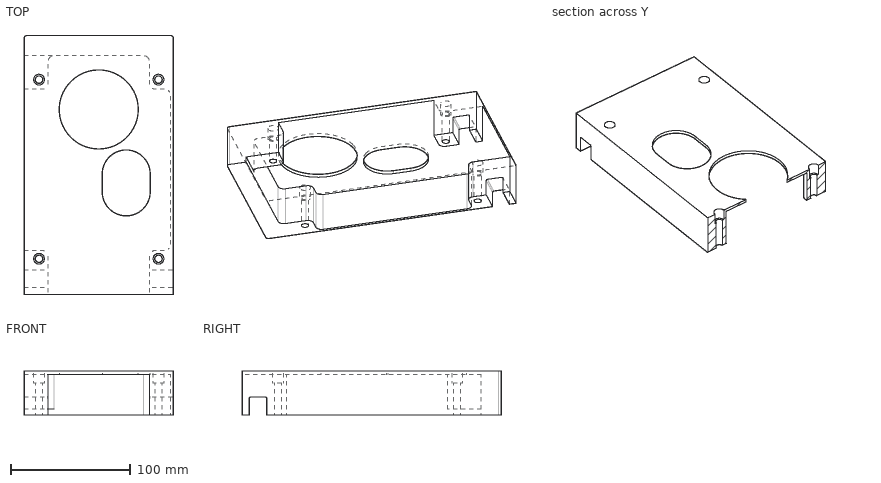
import cadquery as cq

LENGTH_X = 125.0
LENGTH_Y = 217.0
HEIGHT = 37.0
REAR_CORNER_RADIUS = 2.5

PLATE_THICKNESS = 3.0
LEG_WIDTH = 20.0
REAR_LEG_LENGTH = 45.0
FRONT_LEG_LENGTH = 37.0
REAR_WALL = 17.0
SIDE_WALL = 2.5
BAY_CORNER_RADIUS = 5.0

ROUND_WINDOW_DIAMETER = 66.0
ROUND_WINDOW_FROM_REAR = 62.0
OBLONG_WIDTH = 40.0
OBLONG_LENGTH = 55.0
OBLONG_X = 23.0
OBLONG_FROM_REAR = 123.5

SCREW_DIAMETER = 6.0
SCREW_HEAD_DIAMETER = 9.0
SCREW_HEAD_DEPTH = 10.0
SCREW_SPACING_X = 100.0
SCREW_SPACING_Y = 150.0
REAR_SCREWS_FROM_REAR = 37.0

NOTCH_FROM_FRONT = 6.0
NOTCH_WIDTH = 14.5
NOTCH_HEIGHT = 15.0
NOTCH_CORNER_RADIUS = 1.0

RELIEF_HEIGHT = 5.0

LEFT = -LENGTH_X / 2
RIGHT = LENGTH_X / 2
FRONT = -LENGTH_Y / 2
REAR = LENGTH_Y / 2
BAY_HEIGHT = HEIGHT - PLATE_THICKNESS
REAR_LEG_FRONT_Y = REAR - REAR_LEG_LENGTH


def box_between(x_min, x_max, y_min, y_max, height):
    """Box standing on Z = 0 between the given X and Y limits."""
    return (
        cq.Workplane("XY")
        .box(x_max - x_min, y_max - y_min, height, centered=False)
        .translate((x_min, y_min, 0))
    )


def outer_block():
    block = box_between(LEFT, RIGHT, FRONT, REAR, HEIGHT)
    return block.edges("|Z and >Y").fillet(REAR_CORNER_RADIUS)


def underside_bays():
    """The two crossing bays that leave four legs, a rear wall and a +X side wall."""
    overrun = 2 * BAY_CORNER_RADIUS
    lengthwise = box_between(
        LEFT + LEG_WIDTH, RIGHT - LEG_WIDTH, FRONT - overrun, REAR - REAR_WALL, BAY_HEIGHT
    )
    crosswise = box_between(
        LEFT - overrun, RIGHT - SIDE_WALL, FRONT + FRONT_LEG_LENGTH, REAR_LEG_FRONT_Y, BAY_HEIGHT
    )
    return lengthwise.union(crosswise).edges("|Z").fillet(BAY_CORNER_RADIUS)


def round_window():
    return (
        cq.Workplane("XY")
        .center(0, REAR - ROUND_WINDOW_FROM_REAR)
        .circle(ROUND_WINDOW_DIAMETER / 2)
        .extrude(HEIGHT)
    )


def oblong_window():
    return (
        cq.Workplane("XY")
        .center(OBLONG_X, REAR - OBLONG_FROM_REAR)
        .slot2D(OBLONG_LENGTH, OBLONG_WIDTH, 90)
        .extrude(HEIGHT)
    )


def drill_screw_holes(body):
    pattern_center_y = REAR - REAR_SCREWS_FROM_REAR - SCREW_SPACING_Y / 2
    return (
        body.faces(">Z")
        .workplane(origin=(0, pattern_center_y, HEIGHT))
        .rarray(SCREW_SPACING_X, SCREW_SPACING_Y, 2, 2)
        .cboreHole(SCREW_DIAMETER, SCREW_HEAD_DIAMETER, SCREW_HEAD_DEPTH)
    )


def front_leg_notch():
    notch_front = FRONT + NOTCH_FROM_FRONT
    notch = box_between(LEFT, RIGHT, notch_front, notch_front + NOTCH_WIDTH, NOTCH_HEIGHT)
    return notch.edges("|X and >Z").fillet(NOTCH_CORNER_RADIUS)


def rear_leg_relief():
    """Opens the rear left leg sideways into the lengthwise bay, flush with the rear wall."""
    relief_end = LEFT + LEG_WIDTH + BAY_CORNER_RADIUS
    return box_between(LEFT, relief_end, REAR_LEG_FRONT_Y, REAR - REAR_WALL, RELIEF_HEIGHT)


result = outer_block().cut(underside_bays())
result = result.cut(round_window()).cut(oblong_window())
result = drill_screw_holes(result)
result = result.cut(front_leg_notch()).cut(rear_leg_relief())